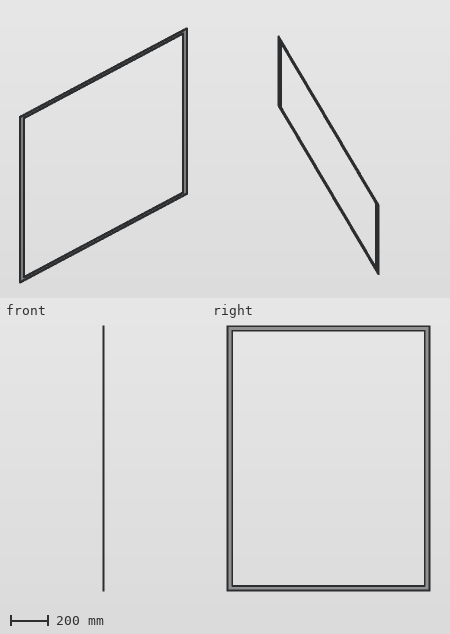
import cadquery as cq

thickness = 3.81
frame_width = 1066.8
frame_height = 1397.0

border = 25.4

opening_width = frame_width - 2 * border
opening_height = frame_height - 2 * border


def upright_plate(width, height):
    """Rectangular plate centred on the origin, thin along X."""
    return cq.Workplane("XY").box(thickness, width, height)


result = upright_plate(frame_width, frame_height).cut(upright_plate(opening_width, opening_height))